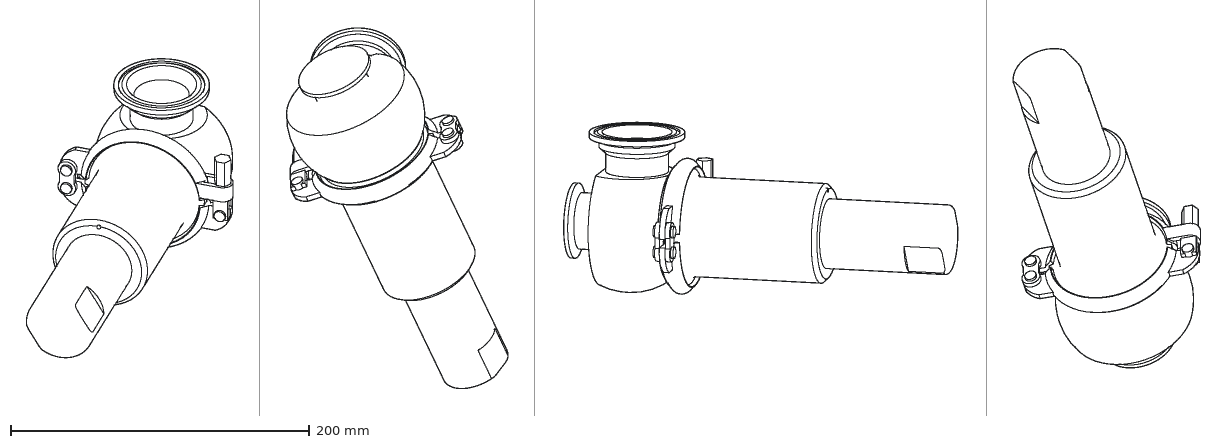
import cadquery as cq
import math


rear_y = 44.5
overall_length = 261.0
tip_y = rear_y - overall_length
ball_y = 4.2
ball_back_y = 23.0
ball_front_y = -23.8
clamp_y = -33.0
housing_front_y = -132.4

ball_r = 46.5
top_flat_z = 36.0
ferrule_r = 25.3
ferrule_rim = 3.0
ferrule_taper = 2.5
neck_r = 19.0
neck_fillet = 5.5
housing_d = 67.0
housing_r = housing_d / 2
housing_chamfer = 3.1
housing_fillet = 5.0
shaft_r = 23.5
shaft_fillet = 2.3

across_flats = 41.0
flat_length = 25.8
flat_angle = 32.0
vent_r = 1.3
vent_z = 29.8
vent_depth = 4.2

port_top_z = 63.0
port_rim_z = 59.3
port_shoulder_z = 57.0
port_collar_z = 52.7
port_neck_z = 48.8
port_rim_r = 32.0
port_taper_r = 29.5
port_collar_r = 25.5
port_neck_r = 21.1
port_mouth_r = 23.5
port_floor_r = 18.5
port_depth = 8.0
seal_outer_r = 29.0
seal_inner_r = 26.5
seal_depth = 1.3

flange_rim_r = 42.3
flange_rim_half = 3.0
flange_root_r = 36.5
flange_root_half = 5.2

clamp_width = 13.8
clamp_half = clamp_width / 2
clamp_outer_r = 45.7
clamp_shoulder_r = 43.0
clamp_shoulder_half = 4.5
clamp_side_r = 40.7
clamp_mouth_r = 40.2
clamp_bore_r = 39.2
split_half = 3.0

pin_x = 54.3
pin_z = 7.0
pin_r = 4.0
link_end_r = 6.3
link_waist_half = 5.2
link_outer_half = 5.2
tab_half = 1.95
latch_end_x = 61.3
tab_top_z = 22.0
tab_corner_x = 49.5
tab_bulge_x = 56.0
tab_bulge_z = 17.2
latch_low_z = 5.0
latch_high_z = 16.2
slot_half = 3.7
slot_end_x = 50.0
fork_low_z = -10.2
knob_corner_d = 11.5
knob_top_z = 35.0


def plate(middle_y, half_thickness):
    """XZ workplane whose extrusion by 2 * half_thickness is centred on middle_y."""
    return cq.Workplane("XZ", origin=(0, middle_y + half_thickness, 0))


def y_cylinder(radius, x, z, half_length):
    """Cylinder parallel to Y, centred on the middle plane of the clamp."""
    return plate(clamp_y, half_length).center(x, z).circle(radius).extrude(2 * half_length)


def box_between(x0, x1, y0, y1, z0, z1):
    """Axis-aligned box given by its limits."""
    return cq.Workplane("XY").box(x1 - x0, y1 - y0, z1 - z0, centered=False).translate((x0, y0, z0))


def clamp_flange():
    """Double-tapered flange; it also fills the V groove of the clamp."""
    return (
        cq.Workplane("XY")
        .moveTo(0, clamp_y + flange_root_half)
        .lineTo(flange_root_r, clamp_y + flange_root_half)
        .lineTo(flange_rim_r, clamp_y + flange_rim_half)
        .lineTo(flange_rim_r, clamp_y - flange_rim_half)
        .lineTo(flange_root_r, clamp_y - flange_root_half)
        .lineTo(0, clamp_y - flange_root_half)
        .close()
        .revolve(360, (0, 0, 0), (0, 1, 0))
    )


def turned_body():
    """Rear ferrule, truncated ball, cylinder housing and shaft, turned about Y."""
    back_r = math.sqrt(ball_r**2 - (ball_back_y - ball_y) ** 2)
    front_r = math.sqrt(ball_r**2 - (ball_front_y - ball_y) ** 2)
    rim_y = rear_y - ferrule_rim
    flange_front_y = clamp_y - flange_root_half
    fillet_rise = flange_root_r - housing_r
    fillet_run = math.sqrt(housing_fillet**2 - (housing_fillet - fillet_rise) ** 2)
    return (
        cq.Workplane("XY")
        .moveTo(0, rear_y)
        .lineTo(ferrule_r, rear_y)
        .lineTo(ferrule_r, rim_y)
        .lineTo(neck_r, rim_y - ferrule_taper)
        .lineTo(neck_r, ball_back_y + neck_fillet)
        .radiusArc((neck_r + neck_fillet, ball_back_y), -neck_fillet)
        .lineTo(back_r, ball_back_y)
        .threePointArc((ball_r, ball_y), (front_r, ball_front_y))
        .lineTo(flange_root_r, ball_front_y)
        .lineTo(flange_root_r, flange_front_y)
        .radiusArc((housing_r, flange_front_y - fillet_run), -housing_fillet)
        .lineTo(housing_r, housing_front_y + housing_chamfer)
        .lineTo(housing_r - housing_chamfer, housing_front_y)
        .lineTo(shaft_r, housing_front_y)
        .lineTo(shaft_r, tip_y)
        .lineTo(0, tip_y)
        .close()
        .revolve(360, (0, 0, 0), (0, 1, 0))
        .faces("<Y")
        .edges()
        .fillet(shaft_fillet)
    )


def port():
    """Stepped vertical port, turned about Z, with its tapered mouth and seal groove."""
    floor_z = port_top_z - port_depth
    groove_z = port_top_z - seal_depth
    return (
        cq.Workplane("XZ")
        .moveTo(0, 0)
        .lineTo(port_neck_r, 0)
        .lineTo(port_neck_r, port_neck_z)
        .lineTo(port_collar_r, port_collar_z)
        .lineTo(port_collar_r, port_shoulder_z)
        .lineTo(port_taper_r, port_rim_z)
        .lineTo(port_rim_r, port_rim_z)
        .lineTo(port_rim_r, port_top_z)
        .lineTo(seal_outer_r, port_top_z)
        .lineTo(seal_outer_r, groove_z)
        .lineTo(seal_inner_r, port_top_z)
        .lineTo(port_mouth_r, port_top_z)
        .lineTo(port_floor_r, floor_z)
        .lineTo(0, floor_z)
        .close()
        .revolve(360, (0, 0, 0), (0, 1, 0))
    )


def wrench_flat_cutter(angle):
    """Block that leaves one flat on the shaft tip, facing the given angle about Y."""
    cutter = box_between(
        across_flats / 2, 2 * shaft_r, tip_y, tip_y + flat_length, -shaft_r, shaft_r
    )
    return cutter.rotate((0, 0, 0), (0, 1, 0), -angle)


def build_valve():
    """Valve body with its housing and shaft, as one solid."""
    body = turned_body().union(clamp_flange())
    top_cut = box_between(-ball_r, ball_r, ball_front_y, ball_back_y, top_flat_z, 2 * ball_r)
    body = body.cut(top_cut).union(port())
    for angle in (flat_angle, flat_angle + 180):
        body = body.cut(wrench_flat_cutter(angle))
    vent = (
        cq.Workplane("XZ", origin=(0, housing_front_y, vent_z))
        .circle(vent_r)
        .extrude(-vent_depth)
    )
    return body.cut(vent)


def clamp_ring():
    """Round-backed ring with a V groove, split at both sides."""
    taper = (flange_root_half - flange_rim_half) / (flange_rim_r - flange_root_r)
    bore_half = flange_rim_half + taper * (flange_rim_r - clamp_bore_r)
    ring = (
        cq.Workplane("XY", origin=(0, clamp_y, 0))
        .moveTo(clamp_mouth_r, clamp_half)
        .lineTo(clamp_side_r, clamp_half)
        .lineTo(clamp_shoulder_r, clamp_shoulder_half)
        .threePointArc((clamp_outer_r, 0), (clamp_shoulder_r, -clamp_shoulder_half))
        .lineTo(clamp_side_r, -clamp_half)
        .lineTo(clamp_mouth_r, -clamp_half)
        .lineTo(clamp_bore_r, -bore_half)
        .lineTo(flange_rim_r, -flange_rim_half)
        .lineTo(flange_rim_r, flange_rim_half)
        .lineTo(clamp_bore_r, bore_half)
        .close()
        .revolve(360, (0, 0, 0), (0, 1, 0))
    )
    split = box_between(
        -2 * clamp_outer_r,
        2 * clamp_outer_r,
        clamp_y - clamp_half,
        clamp_y + clamp_half,
        -split_half,
        split_half,
    )
    return ring.cut(split)


def tab(side, level):
    """Rounded ear of one clamp half; side and level are the signs of its X and Z."""
    tip_x = pin_x + link_end_r
    return (
        plate(clamp_y, tab_half)
        .moveTo(0, level * split_half)
        .lineTo(side * tip_x, level * split_half)
        .lineTo(side * tip_x, level * pin_z)
        .threePointArc(
            (side * tab_bulge_x, level * tab_bulge_z), (side * tab_corner_x, level * tab_top_z)
        )
        .lineTo(0, level * tab_top_z)
        .close()
        .extrude(2 * tab_half)
    )


def pin(side, level):
    """Pin across the clamp through one tab."""
    return y_cylinder(pin_r, side * pin_x, level * pin_z, clamp_half)


def side_plates(shape):
    """Remove the middle of a shape where the tabs sit, leaving a plate on each side."""
    gap = box_between(
        -2 * pin_x, 2 * pin_x, clamp_y - tab_half, clamp_y + tab_half, -2 * pin_x, 2 * pin_x
    )
    return shape.cut(gap)


def hinge_links():
    """Pair of dog-bone links joining the two left-hand tabs."""
    bar = box_between(
        -pin_x - link_waist_half,
        -pin_x + link_waist_half,
        clamp_y - link_outer_half,
        clamp_y + link_outer_half,
        -pin_z,
        pin_z,
    )
    for level in (1, -1):
        bar = bar.union(y_cylinder(link_end_r, -pin_x, level * pin_z, link_outer_half))
    return side_plates(bar)


def latch_block():
    """Round-ended block on the upper clamp half, slotted next to the ring."""
    height = latch_high_z - latch_low_z
    end_x = latch_end_x - clamp_half
    bar = box_between(
        0, end_x, clamp_y - clamp_half, clamp_y + clamp_half, latch_low_z, latch_high_z
    )
    end = (
        cq.Workplane("XY", origin=(end_x, clamp_y, latch_low_z))
        .circle(clamp_half)
        .extrude(height)
    )
    slot = box_between(
        flange_rim_r, slot_end_x, clamp_y - slot_half, clamp_y + slot_half, latch_low_z, latch_high_z
    )
    return bar.union(end).cut(slot)


def latch_fork():
    """Two flat fork plates hanging from the latch block onto the lower right-hand pin."""
    fork = box_between(
        pin_x - link_waist_half,
        pin_x + link_waist_half,
        clamp_y - link_outer_half,
        clamp_y + link_outer_half,
        fork_low_z,
        latch_low_z,
    )
    return side_plates(fork)


def knob():
    """Hexagonal knob standing on the latch block."""
    return (
        cq.Workplane("XY", origin=(pin_x, clamp_y, latch_high_z))
        .polygon(6, knob_corner_d)
        .extrude(knob_top_z - latch_high_z)
    )


def build_clamp():
    """Hinged clamp closed around the flange, as one solid."""
    lugs = latch_block()
    ears = ((-1, 1), (-1, -1), (1, -1))
    for side, level in ears:
        lugs = lugs.union(tab(side, level))
    lugs = lugs.cut(y_cylinder(clamp_mouth_r, 0, 0, clamp_half)).cut(clamp_flange())
    clamp = clamp_ring().union(lugs)
    for side, level in ears:
        clamp = clamp.union(pin(side, level))
    return clamp.union(hinge_links()).union(latch_fork()).union(knob())


valve = build_valve()
clamp = build_clamp()

result = cq.Compound.makeCompound([valve.solids().val(), clamp.solids().val()])